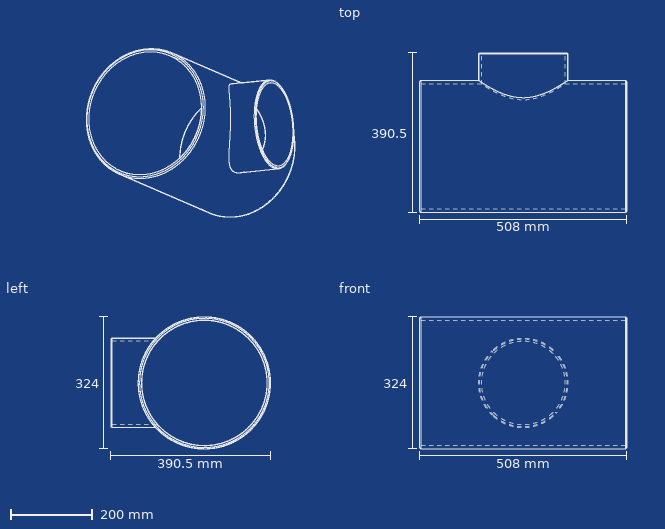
import cadquery as cq

run_length = 508.0
run_diameter = 324.0
run_wall = 8.5
branch_diameter = 219.0
branch_wall = 7.0
branch_reach = 228.5

land_thickness = 5.0

run_plane = cq.Plane(origin=(-run_length / 2, 0, 0), xDir=(0, 1, 0), normal=(1, 0, 0))
branch_plane = cq.Plane(origin=(0, 0, 0), xDir=(1, 0, 0), normal=(0, 1, 0))


def beveled_cylinder(plane, length, diameter, wall, rim_faces):
    """Solid cylinder along the plane normal, beveled around the selected end faces."""
    cylinder = cq.Workplane(plane).circle(diameter / 2).extrude(length)
    return cylinder.faces(rim_faces).edges().chamfer(wall - land_thickness)


def bore(plane, length, diameter, wall):
    """Solid that fills the inside of a pipe."""
    return cq.Workplane(plane).circle(diameter / 2 - wall).extrude(length)


run = beveled_cylinder(run_plane, run_length, run_diameter, run_wall, "<X or >X")
branch = beveled_cylinder(branch_plane, branch_reach, branch_diameter, branch_wall, ">Y")

run_bore = bore(run_plane, run_length, run_diameter, run_wall)
branch_bore = bore(branch_plane, branch_reach, branch_diameter, branch_wall)
result = run.union(branch).cut(run_bore).cut(branch_bore)